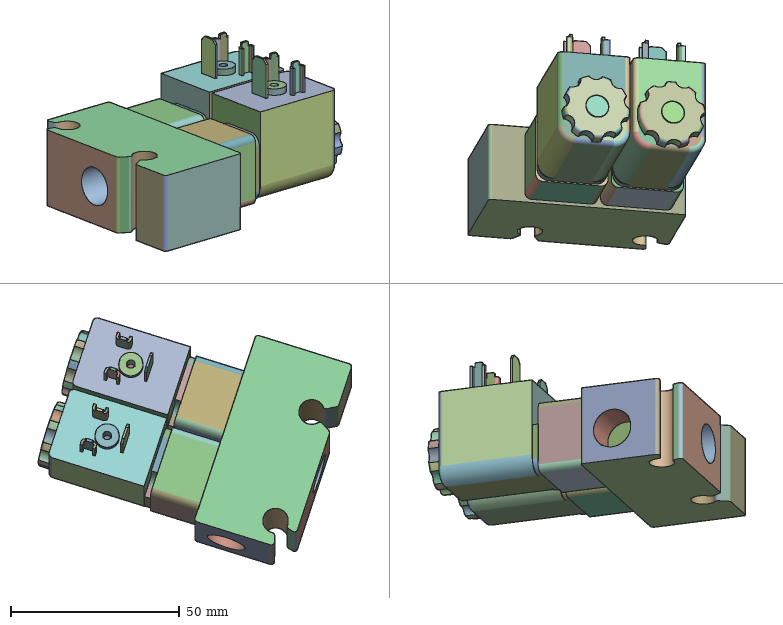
import cadquery as cq
import math


BLOCK_WIDTH = 60.0
BLOCK_DEPTH = 30.05
BLOCK_HEIGHT = 24.0
BLOCK_EDGE_RADIUS = 1.0
BLOCK_MID_HEIGHT = BLOCK_HEIGHT / 2

PORT_DIAMETER = 11.8
PORT_DEPTH = 12.0
FRONT_PORT_X = 28.0
SIDE_PORT_Y = 20.0
SIDE_PORT_Z = 10.05

SLOT_DIAMETER = 7.5
SLOT_Y = 7.05
SLOT_MOUTH_HALF_ANGLE = 30
SLOT_MOUTH_LENGTH = 16.2
CORNER_SLOT_X = 7.5
CORNER_SLOT_DIRECTION = 225
FRONT_SLOT_X = 42.5
FRONT_SLOT_DIRECTION = 270

VALVE_PITCH = 23.0
FIRST_VALVE_X = 15.1
VALVE_WIDTH = 21.95

BODY_LENGTH = 15.0
BODY_EDGE_RADIUS = 2.0
BODY_BACK_Y = BLOCK_DEPTH + BODY_LENGTH

SPACER_WIDTH = 21.15
SPACER_LENGTH = 1.95
SPACER_EDGE_RADIUS = 3.6
SPACER_NOTCH_SIZE = 6.6
SPACER_NOTCH_RADIUS = 3.1
SPACER_BACK_Y = BODY_BACK_Y + SPACER_LENGTH

COIL_LENGTH = 30.05
COIL_BOTTOM_Z = BLOCK_MID_HEIGHT - SPACER_WIDTH / 2
COIL_TOP_Z = 30.05
COIL_LOWER_RADIUS = 5.0
COIL_BACK_RADIUS = 1.45
COIL_BACK_Y = SPACER_BACK_Y + COIL_LENGTH

TOTAL_LENGTH = 81
KNOB_DIAMETER = 20.1
KNOB_RIM_RADIUS = 0.8
KNOB_DISC_DIAMETER = 6.9
KNOB_DISC_HEIGHT = 0.4
KNOB_LENGTH = TOTAL_LENGTH - KNOB_DISC_HEIGHT - COIL_BACK_Y
FLUTE_COUNT = 9
FLUTE_PITCH_ANGLE = 360 / FLUTE_COUNT
FLUTE_OPENING_ANGLE = 25
FLUTE_DIAMETER = 5.0
FIRST_KNOB_TURN = 2.5
SECOND_KNOB_TURN = FIRST_KNOB_TURN + FLUTE_PITCH_ANGLE / 2

BOSS_DIAMETER = 7.2
BOSS_HEIGHT = 2.0
BOSS_Y = 62.05
SCREW_HOLE_DIAMETER = 2.5
SCREW_HOLE_DEPTH = 5.0
DRILL_POINT_ANGLE = 118

BLADE_WIDTH = 6.3
BLADE_THICKNESS = 0.7
BLADE_Y = 56.45
BLADE_TOP_Z = 42.0
BLADE_CHAMFER = 1.4

CHANNEL_BACK_OFFSET = 4.5
CHANNEL_DEPTH = 2.0
CHANNEL_WIDTH = 4.7
CHANNEL_WALL = 0.8
CHANNEL_BEND_RADIUS = 1.0
CHANNEL_Y = 66.0
CHANNEL_TOP_Z = 38.5
CHANNEL_TAB_WIDTH = 2.5
CHANNEL_TAB_TOP_Z = 39.85
CHANNEL_TAB_CHAMFER = 0.3


def box(width, length, height, x, y, z):
    """Box centred on x, starting at y and z."""
    return cq.Workplane("XY").box(width, length, height, centered=(True, False, False)).translate((x, y, z))


def rod(diameter, length, x, y, z):
    """Cylinder about a Y axis through x and z, running back from y."""
    return cq.Workplane("XZ").circle(diameter / 2).extrude(-length).translate((x, y, z))


def keyhole_slot(x, direction):
    """Round hole whose wedge-shaped mouth opens at the given angle, in degrees from +X towards +Y."""
    mouth = cq.Workplane("XY").moveTo(0, 0)
    for side in (-1, 1):
        angle = math.radians(direction + side * SLOT_MOUTH_HALF_ANGLE)
        mouth = mouth.lineTo(SLOT_MOUTH_LENGTH * math.cos(angle), SLOT_MOUTH_LENGTH * math.sin(angle))
    mouth = mouth.close().extrude(BLOCK_HEIGHT)
    hole = cq.Workplane("XY").circle(SLOT_DIAMETER / 2).extrude(BLOCK_HEIGHT)
    return hole.union(mouth).translate((x, SLOT_Y, 0))


def manifold_block():
    block = box(BLOCK_WIDTH, BLOCK_DEPTH, BLOCK_HEIGHT, BLOCK_WIDTH / 2, 0, 0)
    block = block.cut(keyhole_slot(CORNER_SLOT_X, CORNER_SLOT_DIRECTION))
    block = block.cut(keyhole_slot(FRONT_SLOT_X, FRONT_SLOT_DIRECTION))
    block = block.edges("|Z").fillet(BLOCK_EDGE_RADIUS)
    front_port = rod(PORT_DIAMETER, PORT_DEPTH, FRONT_PORT_X, 0, BLOCK_MID_HEIGHT)
    side_port = cq.Workplane("YZ").circle(PORT_DIAMETER / 2).extrude(PORT_DEPTH)
    side_port = side_port.translate((0, SIDE_PORT_Y, SIDE_PORT_Z))
    return block.cut(front_port).cut(side_port)


def valve_body(x):
    body = box(VALVE_WIDTH, BODY_LENGTH, VALVE_WIDTH, x, BLOCK_DEPTH, BLOCK_MID_HEIGHT - VALVE_WIDTH / 2)
    return body.edges("|Y").fillet(BODY_EDGE_RADIUS)


def spacer(x):
    """Square plate with three rounded corners and a notch in the upper left corner."""
    left = x - SPACER_WIDTH / 2
    top = COIL_BOTTOM_Z + SPACER_WIDTH
    plate = box(SPACER_WIDTH, SPACER_LENGTH, SPACER_WIDTH, x, BODY_BACK_Y, COIL_BOTTOM_Z)
    plate = plate.edges("|Y").edges("<Z or >X").fillet(SPACER_EDGE_RADIUS)
    notch = box(2 * SPACER_NOTCH_SIZE, SPACER_LENGTH, 2 * SPACER_NOTCH_SIZE,
                left, BODY_BACK_Y, top - SPACER_NOTCH_SIZE)
    notch = notch.edges("|Y and >X and <Z").fillet(SPACER_NOTCH_RADIUS)
    return plate.cut(notch)


def coil(x):
    housing = box(VALVE_WIDTH, COIL_LENGTH, COIL_TOP_Z - COIL_BOTTOM_Z, x, SPACER_BACK_Y, COIL_BOTTOM_Z)
    housing = housing.edges("|Y and <Z").fillet(COIL_LOWER_RADIUS)
    return housing.faces(">Y").edges("not >Z").fillet(COIL_BACK_RADIUS)


def knob(x, turn):
    """Fluted knob; turn is the angle of one land from straight up, towards +X."""
    radius = KNOB_DIAMETER / 2
    flute_radius = FLUTE_DIAMETER / 2
    half_opening = math.radians(FLUTE_OPENING_ANGLE / 2)
    half_chord = radius * math.sin(half_opening)
    flute_distance = radius * math.cos(half_opening) + math.sqrt(flute_radius**2 - half_chord**2)

    grip = rod(KNOB_DIAMETER, KNOB_LENGTH, x, COIL_BACK_Y, BLOCK_MID_HEIGHT)
    grip = grip.faces(">Y").edges().fillet(KNOB_RIM_RADIUS)
    for index in range(FLUTE_COUNT):
        angle = math.radians(turn + (index + 0.5) * FLUTE_PITCH_ANGLE)
        flute_x = x + flute_distance * math.sin(angle)
        flute_z = BLOCK_MID_HEIGHT + flute_distance * math.cos(angle)
        grip = grip.cut(rod(FLUTE_DIAMETER, KNOB_LENGTH, flute_x, COIL_BACK_Y, flute_z))
    disc = rod(KNOB_DISC_DIAMETER, KNOB_DISC_HEIGHT, x, COIL_BACK_Y + KNOB_LENGTH, BLOCK_MID_HEIGHT)
    return grip.union(disc)


def screw_boss(x):
    boss = cq.Workplane("XY").circle(BOSS_DIAMETER / 2).extrude(BOSS_HEIGHT)
    return boss.translate((x, BOSS_Y, COIL_TOP_Z))


def screw_hole(x):
    """Blind drilled hole with a conical bottom, entering at the top of the boss."""
    radius = SCREW_HOLE_DIAMETER / 2
    point_depth = radius / math.tan(math.radians(DRILL_POINT_ANGLE / 2))
    half_section = (
        cq.Workplane("XZ")
        .lineTo(radius, 0)
        .lineTo(radius, -SCREW_HOLE_DEPTH)
        .lineTo(0, -SCREW_HOLE_DEPTH - point_depth)
        .close()
    )
    drill = half_section.revolve(360, (0, 0, 0), (0, 1, 0))
    return drill.translate((x, BOSS_Y, COIL_TOP_Z + BOSS_HEIGHT))


def earth_blade(x):
    blade = box(BLADE_WIDTH, BLADE_THICKNESS, BLADE_TOP_Z - COIL_TOP_Z,
                x, BLADE_Y - BLADE_THICKNESS / 2, COIL_TOP_Z)
    return blade.faces(">Z").edges("|Y").chamfer(BLADE_CHAMFER)


def power_terminal(x, side):
    """Channel with its back towards the valve centre; side is -1 for left, 1 for right."""
    height = CHANNEL_TOP_Z - COIL_TOP_Z
    outer_x = x + side * (CHANNEL_BACK_OFFSET + CHANNEL_DEPTH / 2)
    channel = box(CHANNEL_DEPTH, CHANNEL_WIDTH, height, outer_x, CHANNEL_Y - CHANNEL_WIDTH / 2, COIL_TOP_Z)
    back_edges = "|Z and >X" if side < 0 else "|Z and <X"
    channel = channel.edges(back_edges).fillet(CHANNEL_BEND_RADIUS)
    inner_width = CHANNEL_WIDTH - 2 * CHANNEL_WALL
    channel = channel.cut(box(CHANNEL_DEPTH, inner_width, height,
                              outer_x + side * CHANNEL_WALL, CHANNEL_Y - inner_width / 2, COIL_TOP_Z))

    tab_x = x + side * (CHANNEL_BACK_OFFSET + CHANNEL_WALL / 2)
    tab = box(CHANNEL_WALL, CHANNEL_TAB_WIDTH, CHANNEL_TAB_TOP_Z - COIL_TOP_Z,
              tab_x, CHANNEL_Y - CHANNEL_TAB_WIDTH / 2, COIL_TOP_Z)
    tab = tab.faces(">Z").edges("|X").chamfer(CHANNEL_TAB_CHAMFER)
    return channel.union(tab)


def valve(x, knob_turn):
    assembly = valve_body(x).union(spacer(x)).union(coil(x)).union(knob(x, knob_turn))
    assembly = assembly.union(screw_boss(x)).cut(screw_hole(x)).union(earth_blade(x))
    for side in (-1, 1):
        assembly = assembly.union(power_terminal(x, side))
    return assembly


result = manifold_block()
result = result.union(valve(FIRST_VALVE_X, FIRST_KNOB_TURN))
result = result.union(valve(FIRST_VALVE_X + VALVE_PITCH, SECOND_KNOB_TURN))